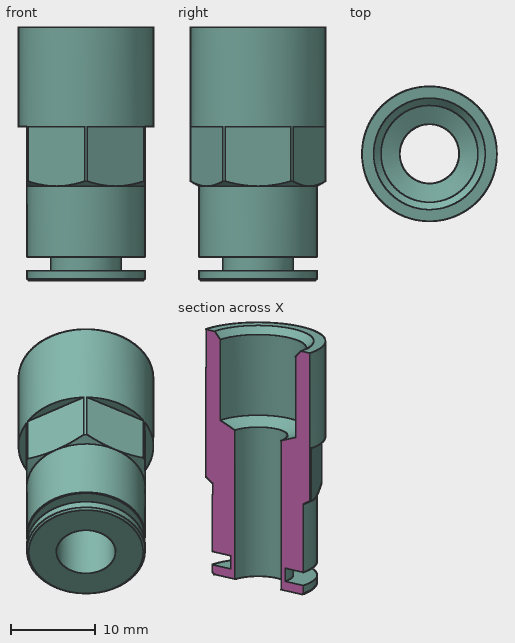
import cadquery as cq
import math

total_height = 30.0
ring_top = 1.2
body_bottom = 2.75
hex_bottom = 11.2
collar_bottom = 18.2

collar_diameter = 16.0
hex_across_flats = 14.0
body_diameter = hex_across_flats
neck_diameter = 8.4
body_chamfer = 0.1
ring_chamfer = 0.25
hex_chamfer_angle = 30.0

through_diameter = 7.0
socket_diameter = 11.45
socket_mouth_diameter = 13.2
socket_depth = 10.8
socket_floor_angle = 20.0


def cylinder(diameter, bottom, top):
    return cq.Workplane("XY").workplane(offset=bottom).circle(diameter / 2).extrude(top - bottom)


def make_hexagon():
    """Hexagon with flats facing +/-X, rounded corners and a cone-cut lower end."""
    hex_height = collar_bottom - hex_bottom
    across_corners = hex_across_flats / math.cos(math.radians(30))
    prism = (
        cq.Workplane("XY").workplane(offset=hex_bottom)
        .polygon(6, across_corners).extrude(hex_height)
        .rotate((0, 0, 0), (0, 0, 1), 30)
    )
    flat_radius = hex_across_flats / 2
    corner_radius = collar_diameter / 2
    cone_height = (corner_radius - flat_radius) * math.tan(math.radians(hex_chamfer_angle))
    envelope = (
        cq.Workplane("XZ")
        .moveTo(0, hex_bottom)
        .lineTo(flat_radius, hex_bottom)
        .lineTo(corner_radius, hex_bottom + cone_height)
        .lineTo(corner_radius, collar_bottom)
        .lineTo(0, collar_bottom)
        .close()
        .revolve(360, (0, 0, 0), (0, 1, 0))
    )
    return prism.intersect(envelope)


def make_bore():
    """Through hole opening by a conical floor into a socket with a chamfered mouth."""
    through_radius = through_diameter / 2
    socket_radius = socket_diameter / 2
    mouth_radius = socket_mouth_diameter / 2
    mouth_depth = mouth_radius - socket_radius
    floor_edge = total_height - socket_depth
    floor_drop = (socket_radius - through_radius) * math.tan(math.radians(socket_floor_angle))
    return (
        cq.Workplane("XZ")
        .lineTo(through_radius, 0)
        .lineTo(through_radius, floor_edge - floor_drop)
        .lineTo(socket_radius, floor_edge)
        .lineTo(socket_radius, total_height - mouth_depth)
        .lineTo(mouth_radius, total_height)
        .lineTo(0, total_height)
        .close()
        .revolve(360, (0, 0, 0), (0, 1, 0))
    )


collar = cylinder(collar_diameter, collar_bottom, total_height)
body = cylinder(body_diameter, body_bottom, hex_bottom).faces("<Z").chamfer(body_chamfer)
neck = cylinder(neck_diameter, ring_top, body_bottom)
release_ring = cylinder(body_diameter, 0, ring_top).faces("<Z").chamfer(ring_chamfer)

result = collar.union(make_hexagon()).union(body).union(neck).union(release_ring).cut(make_bore())